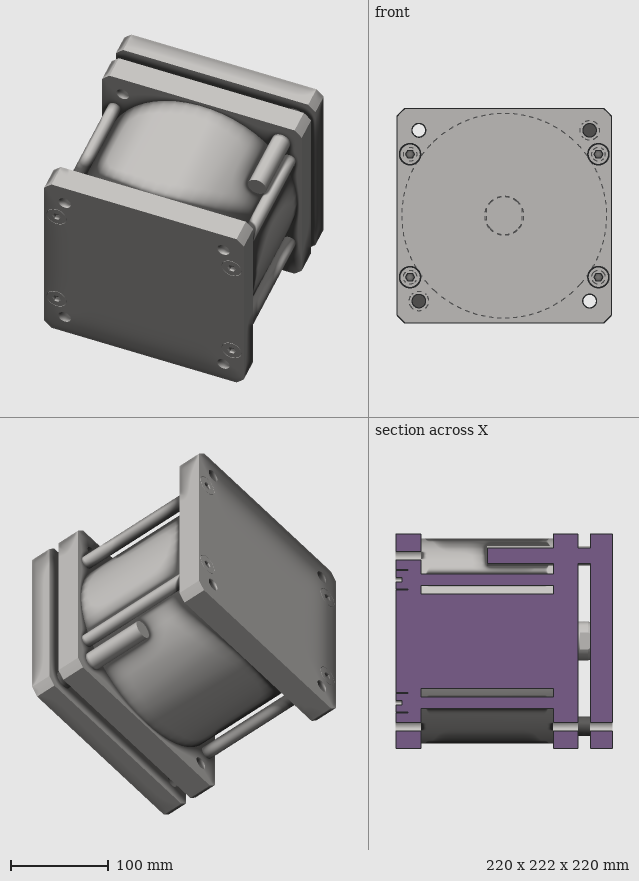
import cadquery as cq
import math

plate_side = 220
plate_corner_diameter = 300
end_plate_thickness = 26
tool_plate_thickness = 23
overall_length = 222
tool_plate_gap = 12
body_diameter = 210

corner_offset = 87.5
mounting_hole_diameter = 13.84
guide_rod_diameter = 20
guide_rod_projection = 67.5

tie_rod_x = 96.5
tie_rod_z = 63
tie_rod_diameter = 14
counterbore_diameter = 22
screw_head_diameter = 21
screw_head_height = 12
socket_across_flats = 8
socket_depth = 6

piston_rod_diameter = 40
piston_rod_across_flats = 36
flat_clearance = 2
rod_end_chamfer_length = 2
rod_end_chamfer_depth = 0.5

tool_plate_y = overall_length - tool_plate_thickness
rear_cover_end_y = tool_plate_y - tool_plate_gap
rear_cover_y = rear_cover_end_y - end_plate_thickness
body_length = rear_cover_y - end_plate_thickness

tie_rod_points = [(x, z) for x in (-tie_rod_x, tie_rod_x) for z in (-tie_rod_z, tie_rod_z)]
guide_rod_points = [(corner_offset, corner_offset), (-corner_offset, -corner_offset)]
open_hole_points = [(-corner_offset, corner_offset), (corner_offset, -corner_offset)]


def section_at(y):
    """Workplane at the given Y facing -Y, with local axes along X and Z."""
    plane = cq.Plane(origin=(0, y, 0), xDir=(1, 0, 0), normal=(0, -1, 0))
    return cq.Workplane(plane)


def rods(points, diameter, start_y, length):
    """Parallel cylinders running toward +Y from start_y."""
    return section_at(start_y).pushPoints(points).circle(diameter / 2).extrude(-length)


def rod(diameter, start_y, length):
    return rods([(0, 0)], diameter, start_y, length)


def plate(start_y, thickness):
    square = section_at(start_y).rect(plate_side, plate_side).extrude(-thickness)
    return square.intersect(rod(plate_corner_diameter, start_y, thickness))


def piston_rod_end():
    """Round rod end with two wrench flats and a slim taper at the moving plate."""
    radius = piston_rod_diameter / 2
    straight_length = tool_plate_gap - rod_end_chamfer_length
    straight = rod(piston_rod_diameter, rear_cover_end_y, straight_length)
    taper = (
        section_at(rear_cover_end_y + straight_length).circle(radius)
        .workplane(offset=-rod_end_chamfer_length).circle(radius - rod_end_chamfer_depth)
        .loft()
    )
    flats_y = rear_cover_end_y + flat_clearance
    between_flats = (
        section_at(flats_y).rect(piston_rod_across_flats, piston_rod_diameter)
        .extrude(-(tool_plate_gap - flat_clearance))
    )
    collar = rod(piston_rod_diameter, rear_cover_end_y, flat_clearance)
    return straight.union(taper).intersect(between_flats.union(collar))


def screw_recesses():
    """Thin clearance ring round each flush screw head, plus its hexagon socket."""
    rings = (
        rods(tie_rod_points, counterbore_diameter, 0, screw_head_height)
        .cut(rods(tie_rod_points, screw_head_diameter, 0, screw_head_height))
    )
    socket_across_corners = socket_across_flats / math.cos(math.pi / 6)
    sockets = (
        section_at(0).pushPoints(tie_rod_points)
        .polygon(6, socket_across_corners).extrude(-socket_depth)
    )
    return rings.union(sockets)


result = plate(0, end_plate_thickness)
result = result.union(plate(rear_cover_y, end_plate_thickness))
result = result.union(rod(body_diameter, end_plate_thickness, body_length))
result = result.union(rods(tie_rod_points, tie_rod_diameter, end_plate_thickness, body_length))

result = result.union(plate(tool_plate_y, tool_plate_thickness))
result = result.union(piston_rod_end())
guide_rod_y = rear_cover_y - guide_rod_projection
result = result.union(
    rods(guide_rod_points, guide_rod_diameter, guide_rod_y, tool_plate_y - guide_rod_y)
)

result = result.cut(rods(open_hole_points, mounting_hole_diameter, 0, overall_length))
result = result.cut(rods(guide_rod_points, mounting_hole_diameter, 0, end_plate_thickness))
result = result.cut(screw_recesses())